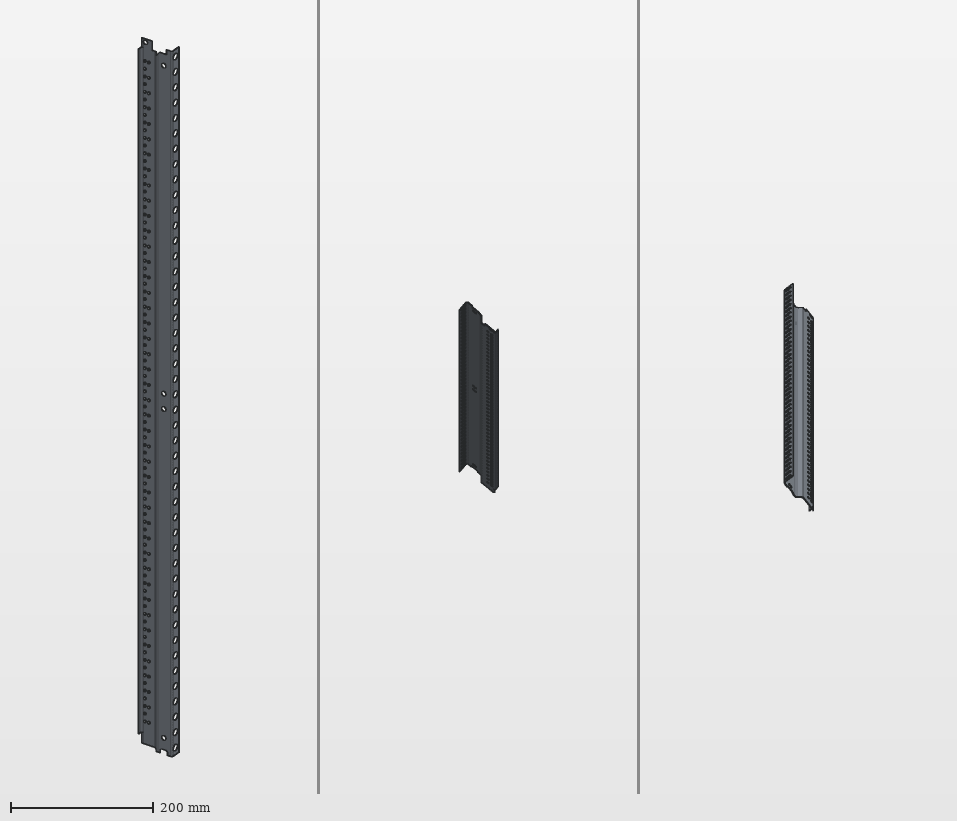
import cadquery as cq
import math


LENGTH = 1148.0
DEPTH = 17.0
SHEET = 1.4
TOP_TONGUE = 18.0
TONGUE_TO_STEP = 6.3
PLATE_WIDTH = TOP_TONGUE + TONGUE_TO_STEP
WEB_WIDTH = 28.0
STEP_OFFSET = 8.0
STEP_ANGLE = 50.0
LIP_DEPTH = 8.6
BEND_INNER = 1.8
BEND_OUTER = BEND_INNER + SHEET

PLATE_ROWS = 44
PLATE_SPAN = 1075.0
PLATE_HOLE = 4.2
INNER_COLUMN = 6.0
OUTER_COLUMN = 13.0
FLANGE_ROWS = PLATE_ROWS + 2
FLANGE_HOLE = 10.0
PITCH = PLATE_SPAN / (PLATE_ROWS - 1)

WEB_HOLE = 7.4
WEB_HOLE_INSET = 15.0
WEB_UPPER_Z = 547.0
WEB_LOWER_Z = -548.0
CORNER_HOLE = 7.0
CORNER_HOLE_INSET = 7.0
CORNER_HOLE_DROP = 6.0

LIP_TOP_GAP = 15.0
LIP_BOTTOM_GAP = 18.0
TOP_TAB = 10.0
TOP_NOTCH_DEPTH = 15.0
TOP_SHELF_DEPTH = 8.0
SHELF_CHAMFER_RUN = 6.0
BOTTOM_NOTCH_WIDTH = 13.0
BOTTOM_NOTCH_DEPTH = 7.1
BOTTOM_NOTCH_INSET = 8.6
BOTTOM_NOTCH_RADIUS = 3.0

step_slope = math.radians(STEP_ANGLE)
step_run = STEP_OFFSET / math.tan(step_slope)
miter = SHEET * math.tan(step_slope / 2)
width = PLATE_WIDTH + step_run + WEB_WIDTH
left = -width / 2
right = width / 2
top = LENGTH / 2
bottom = -LENGTH / 2
back = DEPTH / 2
web_front = -DEPTH / 2
web_back = web_front + SHEET
plate_front = web_front + STEP_OFFSET
plate_back = plate_front + SHEET
lip_inside = left + SHEET
lip_end = plate_back - LIP_DEPTH
flange_inside = right - SHEET
step_left = left + PLATE_WIDTH
step_right = step_left + step_run


def folded_sheet():
    """The section extruded along Z, with every bend rounded."""
    outline = [
        (left, lip_end),
        (lip_inside, lip_end),
        (lip_inside, plate_front),
        (step_left, plate_front),
        (step_right, web_front),
        (right, web_front),
        (right, back),
        (flange_inside, back),
        (flange_inside, web_back),
        (step_right + miter, web_back),
        (step_left + miter, plate_back),
        (left, plate_back),
    ]
    bends = [
        (left, plate_back, BEND_OUTER),
        (lip_inside, plate_front, BEND_INNER),
        (step_left, plate_front, BEND_OUTER),
        (step_left + miter, plate_back, BEND_INNER),
        (step_right, web_front, BEND_INNER),
        (step_right + miter, web_back, BEND_OUTER),
        (right, web_front, BEND_OUTER),
        (flange_inside, web_back, BEND_INNER),
    ]
    sheet = cq.Workplane("XY", origin=(0, 0, bottom)).polyline(outline).close().extrude(LENGTH)
    for x, y, radius in bends:
        sheet = sheet.edges(cq.selectors.NearestToPointSelector((x, y, 0))).fillet(radius)
    return sheet


def front_sketch():
    """Sketch plane on the back limit; solids drawn on it are extruded forward by DEPTH."""
    return cq.Workplane("XZ", origin=(0, back, 0))


def front_drills(points, diameter):
    return front_sketch().pushPoints(points).circle(diameter / 2).extrude(DEPTH)


def centred_rows(count, pitch):
    return [(i - (count - 1) / 2) * pitch for i in range(count)]


def plate_drills():
    """A dense inner column at half pitch and an outer column at full pitch."""
    inner = [(left + INNER_COLUMN, z) for z in centred_rows(2 * PLATE_ROWS - 1, PITCH / 2)]
    outer = [(left + OUTER_COLUMN, z) for z in centred_rows(PLATE_ROWS, PITCH)]
    return front_drills(inner + outer, PLATE_HOLE)


def flange_drills():
    points = [(0, z) for z in centred_rows(FLANGE_ROWS, PITCH)]
    plane = cq.Workplane("YZ", origin=(flange_inside, 0, 0))
    return plane.pushPoints(points).circle(FLANGE_HOLE / 2).extrude(SHEET)


def web_drills():
    heights = [WEB_LOWER_Z, -PITCH / 2, PITCH / 2, WEB_UPPER_Z]
    return front_drills([(right - WEB_HOLE_INSET, z) for z in heights], WEB_HOLE)


def corner_drill():
    return front_drills([(left + CORNER_HOLE_INSET, top - CORNER_HOLE_DROP)], CORNER_HOLE)


def top_notch():
    """Notch over the step, rising by a chamfer to a shallower shelf in the web."""
    outline = [
        (left + TOP_TONGUE, top),
        (left + TOP_TONGUE, top - TOP_NOTCH_DEPTH),
        (step_right, top - TOP_NOTCH_DEPTH),
        (step_right + SHELF_CHAMFER_RUN, top - TOP_SHELF_DEPTH),
        (right - TOP_TAB, top - TOP_SHELF_DEPTH),
        (right - TOP_TAB, top),
    ]
    return front_sketch().polyline(outline).close().extrude(DEPTH)


def bottom_notch():
    """Notch in the web with rounded upper corners."""
    x = right - BOTTOM_NOTCH_INSET - BOTTOM_NOTCH_WIDTH
    block = cq.Workplane("XY").box(BOTTOM_NOTCH_WIDTH, DEPTH, BOTTOM_NOTCH_DEPTH, centered=False)
    block = block.edges("|Y and >Z").fillet(BOTTOM_NOTCH_RADIUS)
    return block.translate((x, web_front, bottom))


def lip_gap(z, height):
    """Removes the lip in front of the plate, together with its inner bend."""
    block = cq.Workplane("XY").box(BEND_OUTER, STEP_OFFSET, height, centered=False)
    return block.translate((left, web_front, z))


result = folded_sheet()
for cutter in (
    plate_drills(),
    flange_drills(),
    web_drills(),
    corner_drill(),
    top_notch(),
    bottom_notch(),
    lip_gap(top - LIP_TOP_GAP, LIP_TOP_GAP),
    lip_gap(bottom, LIP_BOTTOM_GAP),
):
    result = result.cut(cutter)